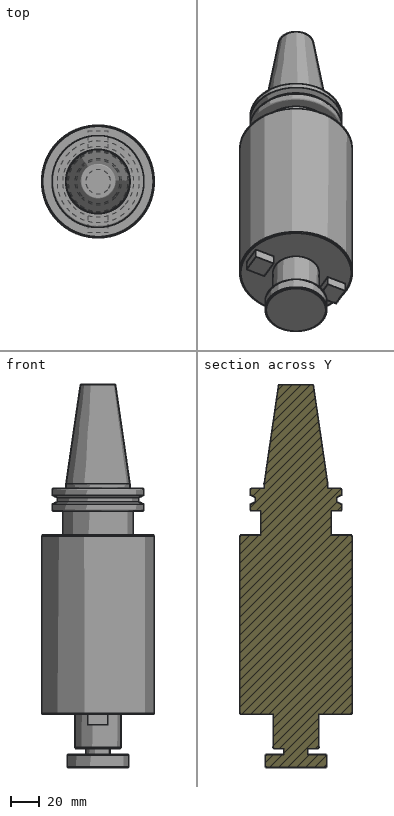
import cadquery as cq
import math

total_height = 265.5
head_height = 9.3
stud_height = 3.7
pilot_height = 24.0
body_height = 124.2
neck_height = 16.5
flange_height = 16.0
collar_height = 3.2

head_diameter = 42.7
stud_diameter = 17.0
pilot_diameter = 32.0
body_diameter = 78.0
neck_diameter = 49.0
flange_diameter = 63.7
collar_diameter = 44.5
gauge_diameter = 44.3

taper_ratio = 7 / 24

head_chamfer = 0.8
pilot_chamfer = 1.0
body_chamfer = 0.8
flange_fillet = 1.3
tip_fillet = 1.0
collar_fillet = 0.8

groove_floor_diameter = 56.8
groove_floor_width = 3.0
groove_wall_angle = 27.0

key_width = 13.8
key_height = 7.2
key_inner_offset = 21.2
key_outer_offset = 35.0

stud_base = head_height
pilot_base = stud_base + stud_height
body_base = pilot_base + pilot_height
neck_base = body_base + body_height
flange_base = neck_base + neck_height
collar_base = flange_base + flange_height
taper_base = collar_base + collar_height
taper_height = total_height - taper_base
tip_diameter = gauge_diameter - taper_ratio * taper_height


def cylinder(base, height, diameter):
    return cq.Workplane("XY").workplane(offset=base).circle(diameter / 2).extrude(height)


def make_taper():
    cone = cq.Solid.makeCone(
        gauge_diameter / 2, tip_diameter / 2, taper_height, cq.Vector(0, 0, taper_base)
    )
    return cq.Workplane(cone).faces(">Z").fillet(tip_fillet)


def make_groove():
    """Ring with a flat floor and sloping walls, to be cut from the flange rim."""
    floor_radius = groove_floor_diameter / 2
    rim_radius = flange_diameter / 2
    depth = rim_radius - floor_radius
    half_floor = groove_floor_width / 2
    half_mouth = half_floor + depth * math.tan(math.radians(groove_wall_angle))
    middle = flange_base + flange_height / 2
    return (
        cq.Workplane("XZ")
        .moveTo(floor_radius, middle - half_floor)
        .lineTo(rim_radius, middle - half_mouth)
        .lineTo(rim_radius, middle + half_mouth)
        .lineTo(floor_radius, middle + half_floor)
        .close()
        .revolve(360, (0, 0, 0), (0, 1, 0))
    )


def make_flange():
    disc = cylinder(flange_base, flange_height, flange_diameter).edges("%CIRCLE").fillet(flange_fillet)
    return disc.cut(make_groove())


def make_key(side):
    length = key_outer_offset - key_inner_offset
    center = side * (key_inner_offset + key_outer_offset) / 2
    return (
        cq.Workplane("XY")
        .workplane(offset=body_base - key_height)
        .center(0, center)
        .rect(key_width, length)
        .extrude(key_height)
    )


head = cylinder(0, head_height, head_diameter).edges("%CIRCLE").chamfer(head_chamfer)
stud = cylinder(stud_base, stud_height, stud_diameter)

pilot = cylinder(pilot_base, pilot_height, pilot_diameter).faces("<Z").chamfer(pilot_chamfer)
body = cylinder(body_base, body_height, body_diameter).edges("%CIRCLE").chamfer(body_chamfer)
neck = cylinder(neck_base, neck_height, neck_diameter)

collar = cylinder(collar_base, collar_height, collar_diameter)
collar = collar.edges("%CIRCLE").fillet(collar_fillet)

result = head
for section in (stud, pilot, body, neck, make_flange(), collar, make_taper()):
    result = result.union(section)
for side in (-1, 1):
    result = result.union(make_key(side))